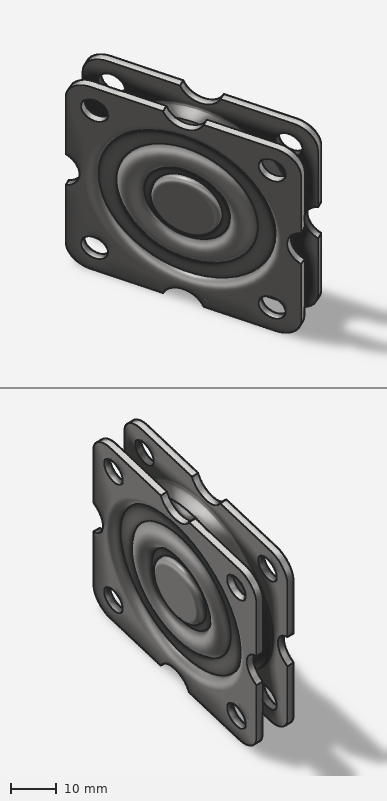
import cadquery as cq
import math

side = 57.0
total_thickness = 10.5
half_thickness = total_thickness / 2
sheet = 1.75
corner_radius = 6.0
hole_offset = 21.5
hole_diameter = 6.5
notch_radius = 5.25
notch_depth = 3.35

dish_mouth_radius = 24.0
inner_bend = 0.85
outer_bend = inner_bend + sheet
wall_angle = math.radians(16)
floor_level = 3.25

ring_outer_radius = 17.1
ring_inner_radius = 10.7
ring_foot_radius = 10.4
ring_foot_height = 0.5
ring_height = 1.9
head_radius = 8.5
head_level = 5.0
head_round = 1.4

bend_level = half_thickness - outer_bend


def bend_point(radius, angle):
    """Point on a bend of the dish mouth, as (radius, distance from the mid-plane)."""
    return (
        dish_mouth_radius - radius * math.cos(angle),
        bend_level + radius * math.sin(angle),
    )


def wall_radius(start, level):
    """Radius where the tapered wall through the start point reaches a level."""
    return start[0] - (start[1] - level) * math.tan(wall_angle)


def flange():
    """Plate with rounded corners, four holes, four edge notches and the dish opening."""
    inner_face = half_thickness - sheet
    plate = (
        cq.Workplane("XY").workplane(offset=inner_face)
        .rect(side, side).extrude(sheet)
        .edges("|Z").fillet(corner_radius)
    )
    holes = (
        cq.Workplane("XY").rect(2 * hole_offset, 2 * hole_offset, forConstruction=True).vertices()
        .circle(hole_diameter / 2).extrude(half_thickness)
    )
    notch_centre = side / 2 - notch_depth + notch_radius
    notches = (
        cq.Workplane("XY").polarArray(notch_centre, 0, 360, 4)
        .circle(notch_radius).extrude(half_thickness)
    )
    opening = cq.Workplane("XY").circle(dish_mouth_radius).extrude(half_thickness)
    return plate.cut(holes).cut(notches).cut(opening)


def dish():
    """Revolved dish with rolled mouth, tapered wall, raised ring and rivet head."""
    middle_angle = (wall_angle + math.pi / 2) / 2
    inner_end = bend_point(inner_bend, wall_angle)
    outer_end = bend_point(outer_bend, wall_angle)
    ring_middle = (ring_outer_radius + ring_inner_radius) / 2
    head_corner = head_round * math.sqrt(0.5)
    profile = (
        cq.Workplane("XY")
        .lineTo(wall_radius(inner_end, 0), 0)
        .lineTo(*inner_end)
        .threePointArc(bend_point(inner_bend, middle_angle), bend_point(inner_bend, math.pi / 2))
        .lineTo(dish_mouth_radius, half_thickness)
        .threePointArc(bend_point(outer_bend, middle_angle), outer_end)
        .lineTo(wall_radius(outer_end, floor_level), floor_level)
        .lineTo(ring_outer_radius, floor_level)
        .threePointArc(
            (ring_middle, floor_level + ring_height),
            (ring_inner_radius, floor_level + ring_foot_height),
        )
        .lineTo(ring_foot_radius, floor_level)
        .lineTo(head_radius, floor_level)
        .lineTo(head_radius, head_level - head_round)
        .threePointArc(
            (head_radius - head_round + head_corner, head_level - head_round + head_corner),
            (head_radius - head_round, head_level),
        )
        .lineTo(0, head_level)
        .close()
    )
    return profile.revolve(360, (0, 0, 0), (0, 1, 0)).rotate((0, 0, 0), (1, 0, 0), 90)


half = flange().union(dish()).rotate((0, 0, 0), (1, 0, 0), 90)
result = half.union(half.mirror("XZ")).clean()